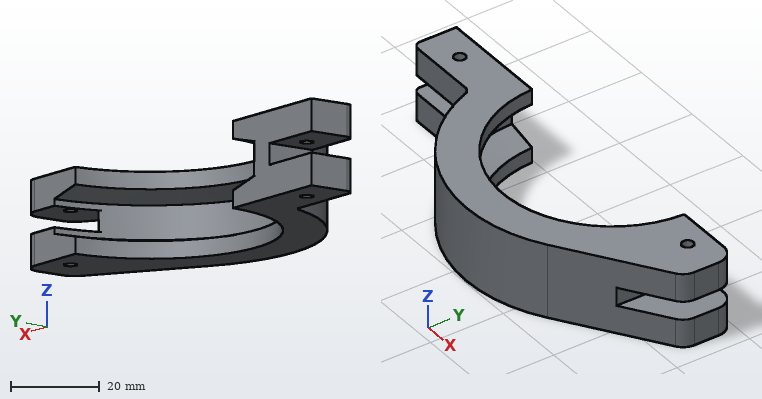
import cadquery as cq
import math

bore_radius = 30.0
wall = 10.0
ring_radius = bore_radius + wall
mating_y = -1.1
height = 20.1

overall_length = 110.0
left_x = -60.0
right_x = left_x + overall_length
left_ear_depth = 12.0
right_corner_y = -14.7
left_rounding = 2.0
right_rounding = 4.5

groove_depth = 8.0
groove_mouth_height = 12.0
groove_floor_height = 8.0

hole_diameter = 3.0
hole_end_offset = 10.0
hole_face_offset = 6.0
slot_height = 5.0
left_slot_length = 16.0
right_slot_length = 14.0

corner_distance = math.hypot(right_x, right_corner_y)
corner_angle = math.atan2(right_corner_y, right_x)
tangent_angle = corner_angle - math.acos(ring_radius / corner_distance)
tangent_x = ring_radius * math.cos(tangent_angle)
tangent_y = ring_radius * math.sin(tangent_angle)

left_ear_y = mating_y - left_ear_depth
left_joint_x = -math.sqrt(ring_radius**2 - left_ear_y**2)
bore_end_x = math.sqrt(bore_radius**2 - mating_y**2)


def make_body():
    """Extrude the clamp outline and round its upright corners."""
    body = (
        cq.Workplane("XY")
        .moveTo(left_x, mating_y)
        .lineTo(left_x, left_ear_y)
        .lineTo(left_joint_x, left_ear_y)
        .threePointArc((0, -ring_radius), (tangent_x, tangent_y))
        .lineTo(right_x, right_corner_y)
        .lineTo(right_x, mating_y)
        .lineTo(bore_end_x, mating_y)
        .threePointArc((0, -bore_radius), (-bore_end_x, mating_y))
        .close()
        .extrude(height / 2, both=True)
    )
    for x, y in [(left_x, left_ear_y), (left_joint_x, left_ear_y)]:
        body = body.edges(cq.NearestToPointSelector((x, y, 0))).fillet(left_rounding)
    return body.edges("|Z and >X").fillet(right_rounding)


def make_slot(x_start, length):
    """Mid-height slot through the full depth of an ear."""
    return (
        cq.Workplane("XY")
        .box(length, 2 * ring_radius, slot_height)
        .translate((x_start + length / 2, 0, 0))
    )


def make_bore_groove():
    """Ring groove inside the bore, narrowing from its mouth to its floor."""
    floor_radius = bore_radius + groove_depth
    return (
        cq.Workplane("XZ")
        .moveTo(0, -groove_mouth_height / 2)
        .lineTo(bore_radius, -groove_mouth_height / 2)
        .lineTo(floor_radius, -groove_floor_height / 2)
        .lineTo(floor_radius, groove_floor_height / 2)
        .lineTo(bore_radius, groove_mouth_height / 2)
        .lineTo(0, groove_mouth_height / 2)
        .close()
        .revolve(360, (0, 0, 0), (0, 1, 0))
    )


def make_bolt_holes():
    hole_y = mating_y - hole_face_offset
    hole_places = [(left_x + hole_end_offset, hole_y), (right_x - hole_end_offset, hole_y)]
    return (
        cq.Workplane("XY")
        .pushPoints(hole_places)
        .circle(hole_diameter / 2)
        .extrude(height / 2, both=True)
    )


result = (
    make_body()
    .cut(make_bore_groove())
    .cut(make_slot(left_x, left_slot_length))
    .cut(make_slot(right_x - right_slot_length, right_slot_length))
    .cut(make_bolt_holes())
)